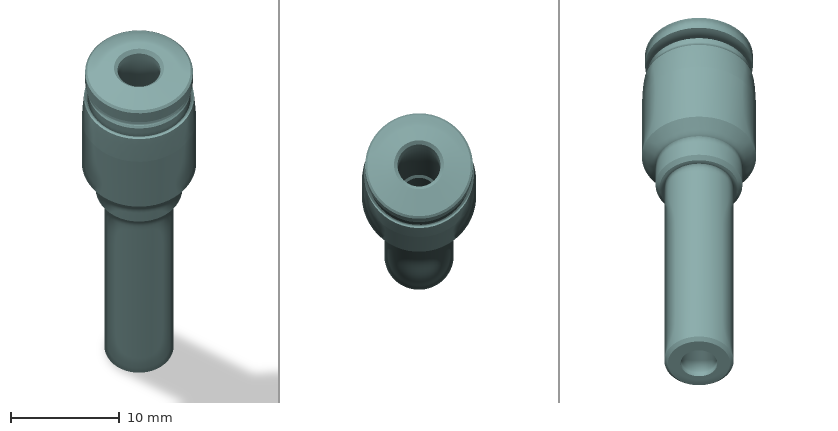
import cadquery as cq
import math

length = 40.3

button_diameter = 9.9
neck_diameter = 5.95
collar_diameter = 9.5
shoulder_diameter = 10.1
body_diameter = 10.5
hub_diameter = 7.98
stem_diameter = 6.35

button_rim_z = length - 0.35
button_bottom_z = length - 1.85
collar_top_z = length - 2.82
collar_bottom_z = length - 4.15
body_top_z = length - 7.17
body_bottom_z = length - 13.62
hub_bottom_z = length - 17.65

button_chamfer = 0.2
neck_fillet = 0.32
collar_chamfer = 0.15
hub_chamfer = 0.35
stem_chamfer = 0.32

mouth_diameter = 4.6
socket_diameter = 3.95
bore_diameter = 3.4


def make_outer_body():
    """Revolve the outer half profile, drawn as (radius, height)."""
    button_r = button_diameter / 2
    neck_r = neck_diameter / 2
    collar_r = collar_diameter / 2
    shoulder_r = shoulder_diameter / 2
    body_r = body_diameter / 2
    hub_r = hub_diameter / 2
    stem_r = stem_diameter / 2

    hub_top_z = body_bottom_z - (body_r - hub_r)
    fillet_mid = neck_fillet * (1 - math.sqrt(0.5))

    profile = (
        cq.Workplane("XZ")
        .moveTo(0, 0)
        .lineTo(stem_r - stem_chamfer, 0)
        .lineTo(stem_r, stem_chamfer)
        .lineTo(stem_r, hub_bottom_z)
        .lineTo(hub_r - hub_chamfer, hub_bottom_z)
        .lineTo(hub_r, hub_bottom_z + hub_chamfer)
        .lineTo(hub_r, hub_top_z)
        .lineTo(body_r, body_bottom_z)
        .lineTo(body_r, body_top_z)
        .tangentArcPoint((shoulder_r, collar_bottom_z), relative=False)
        .lineTo(collar_r, collar_bottom_z)
        .lineTo(collar_r, collar_top_z - collar_chamfer)
        .lineTo(collar_r - collar_chamfer, collar_top_z)
        .lineTo(neck_r, collar_top_z)
        .lineTo(neck_r, button_bottom_z - neck_fillet)
        .threePointArc(
            (neck_r + fillet_mid, button_bottom_z - fillet_mid),
            (neck_r + neck_fillet, button_bottom_z),
        )
        .lineTo(button_r, button_bottom_z)
        .lineTo(button_r, button_rim_z - button_chamfer)
        .lineTo(button_r - button_chamfer, button_rim_z)
        .lineTo(mouth_diameter / 2, length)
        .lineTo(0, length)
        .close()
    )
    return profile.revolve(360, (0, 0, 0), (0, 1, 0))


def make_bore():
    """Through bore with a wider tube socket and a 45 degree lead-in at the top."""
    socket_r = socket_diameter / 2
    mouth_r = mouth_diameter / 2
    bore_r = bore_diameter / 2
    profile = (
        cq.Workplane("XZ")
        .moveTo(0, 0)
        .lineTo(bore_r, 0)
        .lineTo(bore_r, body_bottom_z)
        .lineTo(socket_r, body_bottom_z)
        .lineTo(socket_r, length - (mouth_r - socket_r))
        .lineTo(mouth_r, length)
        .lineTo(0, length)
        .close()
    )
    return profile.revolve(360, (0, 0, 0), (0, 1, 0))


result = make_outer_body().cut(make_bore())